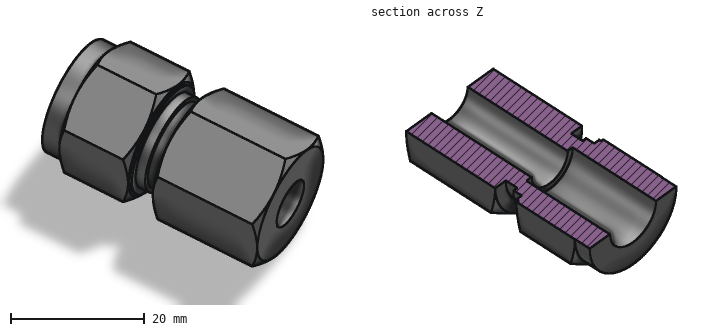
import cadquery as cq
import math

across_flats = 19.0
hexagon_sides = 6
across_corners = across_flats / math.cos(math.pi / hexagon_sides)
chamfer_angle = 30

total_length = 37.8
collar_end = 3.02
nut_end = 15.12
washer_end = 15.5
shoulder_end = 17.15
body_start = 19.43

collar_diameter = 18.95
washer_diameter = 18.05
shoulder_diameter = 15.9
neck_diameter = 14.35

socket_diameter = 10.0
socket_depth = shoulder_end
bore_diameter = 7.85


def cylinder(diameter, x_start, x_end):
    """Round section along X."""
    return cq.Workplane("YZ").workplane(offset=x_start).circle(diameter / 2).extrude(x_end - x_start)


def chamfered_hexagon(x_start, x_end):
    """Hexagonal prism with flats facing Y, corners up and down, and both ends turned to a cone."""
    prism = (
        cq.Workplane("YZ")
        .workplane(offset=x_start)
        .transformed(rotate=(0, 0, 90))
        .polygon(hexagon_sides, across_corners)
        .extrude(x_end - x_start)
    )
    end_radius = collar_diameter / 2
    outer_radius = across_corners
    cone_length = (outer_radius - end_radius) * math.tan(math.radians(chamfer_angle))
    envelope = (
        cq.Workplane("XY")
        .moveTo(x_start, 0)
        .lineTo(x_start, end_radius)
        .lineTo(x_start + cone_length, outer_radius)
        .lineTo(x_end - cone_length, outer_radius)
        .lineTo(x_end, end_radius)
        .lineTo(x_end, 0)
        .close()
        .revolve(360, (0, 0, 0), (1, 0, 0))
    )
    return prism.intersect(envelope)


collar = cylinder(collar_diameter, 0, collar_end)
nut = chamfered_hexagon(collar_end, nut_end)

washer = cylinder(washer_diameter, nut_end, washer_end)
shoulder = cylinder(shoulder_diameter, washer_end, shoulder_end)
neck = cylinder(neck_diameter, shoulder_end, body_start)

body = chamfered_hexagon(body_start, total_length)

socket = cylinder(socket_diameter, 0, socket_depth)
bore = cylinder(bore_diameter, 0, total_length)

result = collar.union(nut).union(washer).union(shoulder).union(neck).union(body)
result = result.cut(socket).cut(bore)